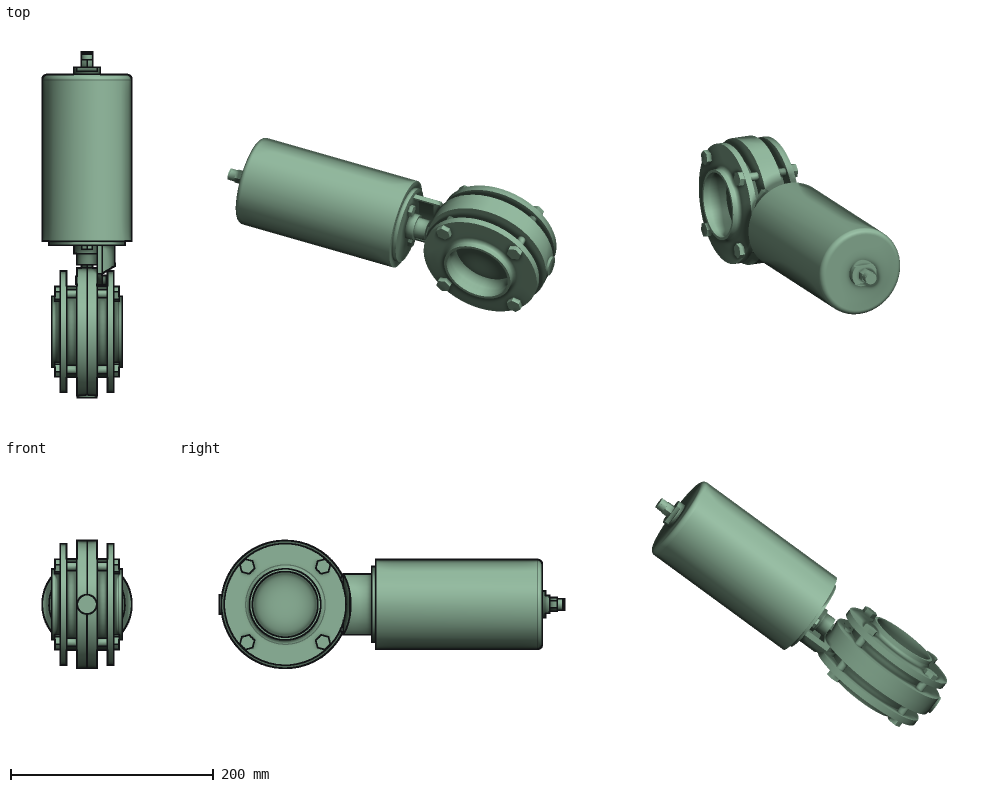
import cadquery as cq
import math


bore_radius = 32.5
ring_radius = 63.0
ring_half_width = 10.0
hub_radius = 45.0
flange_radius = 60.0
flange_inner_x = 20.0
flange_outer_x = 26.5
pipe_radius = 35.0
pipe_end_x = 34.8
pipe_fillet = 4.0

bolt_count = 4
bolt_circle_radius = 53.0
bolt_radius = 4.0
bolt_head_radius = 7.5
bolt_head_height = 5.0

disc_half_thickness = ring_half_width
boss_radius = 9.5
boss_end_y = -65.0
stem_square = 8.0
stem_radius = stem_square / math.sqrt(2)
stem_square_start_y = 54.5

shaft_end_y = 65.8
shaft_radius = 10.2
collar_start_y = 77.0
collar_radius = 13.0
plate_start_y = 85.2
plate_radius = 37.5
cylinder_start_y = 89.5
cylinder_radius = 44.5
cylinder_fillet = 5.0
cylinder_end_y = 253.7
nut_radius = 13.3
nut_flat_start_y = 256.8
nut_half_flats = 9.0
nut_end_y = 261.0
hexagon_radius = 6.8
hexagon_end_y = 268.5
port_radius = 5.8
port_end_y = 276.0
port_groove_start_y = 273.8
port_groove_width = 1.0
port_groove_depth = 0.5
plate_screw_z = 21.8
plate_screw_head_radius = 5.8
plate_screw_head_height = 4.0

bracket_inner_x = ring_half_width
bracket_flat_x = 15.0
bracket_outer_x = 27.5
bracket_half_height = 30.0
bracket_wall = 2.0
bracket_shoulder_y = 57.3
bracket_end_y = 46.0
bracket_end_half_height = 11.0
bracket_slant_end_y = 64.8
window_end_y = 63.8
bracket_screw_y = 50.8
bracket_screw_z = 11.0
bracket_screw_radius = 4.0
bracket_screw_tip_x = -11.3
bracket_screw_head_radius = 4.8
bracket_screw_head_height = 4.0


def yz_plane(x):
    """Plane normal to +X, with its first direction along Y and its second along Z."""
    return cq.Workplane("YZ", origin=(x, 0, 0))


def y_plane(y):
    """Plane normal to +Y, with its first direction along Z and its second along X."""
    return cq.Workplane("ZX", origin=(0, y, 0))


def y_rod(radius, start_y, end_y):
    """Round bar on the Y axis."""
    return y_plane(start_y).circle(radius).extrude(end_y - start_y)


def make_flange_bolt():
    """Bolt in the +X half at +Y, with two hexagon flats facing the pipe axis."""
    shaft = (
        yz_plane(ring_half_width)
        .center(bolt_circle_radius, 0)
        .circle(bolt_radius)
        .extrude(flange_outer_x - ring_half_width)
    )
    head = (
        yz_plane(flange_outer_x)
        .center(bolt_circle_radius, 0)
        .transformed(rotate=(0, 0, 90))
        .polygon(6, 2 * bolt_head_radius)
        .extrude(bolt_head_height)
    )
    return shaft.union(head)


def make_housing_half():
    """+X half: ring half, hub, flange, pipe stub and bolts."""
    fillet_mid_offset = pipe_fillet * (1 - math.sqrt(0.5))
    half = (
        cq.Workplane("XY")
        .moveTo(0, bore_radius)
        .lineTo(0, ring_radius)
        .lineTo(ring_half_width, ring_radius)
        .lineTo(ring_half_width, hub_radius)
        .lineTo(flange_inner_x, hub_radius)
        .lineTo(flange_inner_x, flange_radius)
        .lineTo(flange_outer_x, flange_radius)
        .lineTo(flange_outer_x, pipe_radius + pipe_fillet)
        .threePointArc(
            (flange_outer_x + fillet_mid_offset, pipe_radius + fillet_mid_offset),
            (flange_outer_x + pipe_fillet, pipe_radius),
        )
        .lineTo(pipe_end_x, pipe_radius)
        .lineTo(pipe_end_x, bore_radius)
        .close()
        .revolve(360, (0, 0, 0), (1, 0, 0))
    )
    bolt = make_flange_bolt()
    for index in range(bolt_count):
        angle = (index + 0.5) * 360 / bolt_count
        half = half.union(bolt.rotate((0, 0, 0), (1, 0, 0), angle))
    return half


def make_disc():
    """Closing disc with its stem: a round end boss at -Y and a square drive end at +Y."""
    disc = yz_plane(-disc_half_thickness).circle(bore_radius).extrude(2 * disc_half_thickness)
    ring_space = yz_plane(-flange_inner_x).circle(ring_radius).extrude(2 * flange_inner_x)
    boss = y_rod(boss_radius, boss_end_y, 0).cut(ring_space)
    stem = y_rod(stem_radius, boss_end_y, stem_square_start_y)
    drive = (
        y_plane(stem_square_start_y)
        .transformed(rotate=(0, 0, 45))
        .rect(stem_square, stem_square)
        .extrude(shaft_end_y - stem_square_start_y)
    )
    return disc.union(boss).union(stem).union(drive)


def make_actuator():
    """Actuator cylinder with its output shaft, end plate, screws and air port."""
    cylinder = y_rod(cylinder_radius, cylinder_start_y, cylinder_end_y)
    actuator = cylinder.faces(">Y").edges().fillet(cylinder_fillet)
    actuator = actuator.union(y_rod(plate_radius, plate_start_y, cylinder_start_y))
    actuator = actuator.union(y_rod(collar_radius, collar_start_y, plate_start_y))
    actuator = actuator.union(y_rod(shaft_radius, shaft_end_y, collar_start_y))

    screw_heads = (
        y_plane(plate_start_y)
        .pushPoints([(-plate_screw_z, 0), (plate_screw_z, 0)])
        .polygon(6, 2 * plate_screw_head_radius)
        .extrude(-plate_screw_head_height)
    )
    flats = (
        y_plane(nut_flat_start_y)
        .rect(2 * nut_half_flats, 2 * nut_radius)
        .extrude(nut_end_y - nut_flat_start_y)
    )
    nut = y_rod(nut_radius, cylinder_end_y, nut_flat_start_y).union(
        y_rod(nut_radius, nut_flat_start_y, nut_end_y).intersect(flats)
    )
    hexagon = (
        y_plane(nut_end_y)
        .polygon(6, 2 * hexagon_radius)
        .extrude(hexagon_end_y - nut_end_y)
    )
    port_groove = (
        y_plane(port_groove_start_y)
        .circle(port_radius)
        .circle(port_radius - port_groove_depth)
        .extrude(port_groove_width)
    )
    port = y_rod(port_radius, hexagon_end_y, port_end_y).cut(port_groove)
    return actuator.union(screw_heads).union(nut).union(hexagon).union(port)


def bracket_section(half_height, outer_x, start_y, length):
    """D-shaped bar along Y: a flat part at the inner side closed by an arc at the outer side."""
    return (
        y_plane(start_y)
        .moveTo(-half_height, bracket_inner_x)
        .lineTo(-half_height, bracket_flat_x)
        .threePointArc((0, outer_x), (half_height, bracket_flat_x))
        .lineTo(half_height, bracket_inner_x)
        .close()
        .extrude(length)
    )


def make_bracket_screws():
    """Two round-headed screws that hold the bracket against the +X face of the ring."""
    places = [(bracket_screw_y, -bracket_screw_z), (bracket_screw_y, bracket_screw_z)]
    shafts = (
        yz_plane(bracket_screw_tip_x)
        .pushPoints(places)
        .circle(bracket_screw_radius)
        .extrude(bracket_flat_x - bracket_screw_tip_x)
    )
    heads = (
        yz_plane(bracket_flat_x)
        .pushPoints(places)
        .circle(bracket_screw_head_radius)
        .extrude(bracket_screw_head_height)
    )
    return shafts.union(heads)


def make_bracket():
    """Curved sheet bracket with a tapered foot on the ring, and its two screws."""
    body = bracket_section(bracket_half_height, bracket_outer_x, bracket_end_y, plate_start_y - bracket_end_y)
    pocket = bracket_section(
        bracket_half_height - bracket_wall,
        bracket_outer_x - bracket_wall,
        window_end_y,
        plate_start_y - window_end_y,
    )
    slant = (
        cq.Workplane("XY")
        .moveTo(bracket_flat_x, bracket_end_y)
        .lineTo(bracket_flat_x, bracket_shoulder_y)
        .lineTo(bracket_outer_x, bracket_slant_end_y)
        .lineTo(bracket_outer_x, bracket_end_y)
        .close()
        .extrude(bracket_half_height, both=True)
    )
    outline = (
        yz_plane(bracket_inner_x)
        .polyline(
            [
                (bracket_end_y, -bracket_end_half_height),
                (bracket_end_y, bracket_end_half_height),
                (bracket_shoulder_y, bracket_half_height),
                (plate_start_y, bracket_half_height),
                (plate_start_y, -bracket_half_height),
                (bracket_shoulder_y, -bracket_half_height),
            ]
        )
        .close()
        .extrude(bracket_outer_x - bracket_inner_x)
    )
    return body.cut(pocket).cut(slant).intersect(outline).union(make_bracket_screws())


disc = make_disc()
actuator = make_actuator()
bracket = make_bracket()
housing_half = make_housing_half()
housing_halves = [
    half.cut(disc).cut(bracket) for half in (housing_half, housing_half.mirror("YZ"))
]

result = cq.Compound.makeCompound(
    [body.solids().val() for body in (disc, actuator, bracket, *housing_halves)]
)